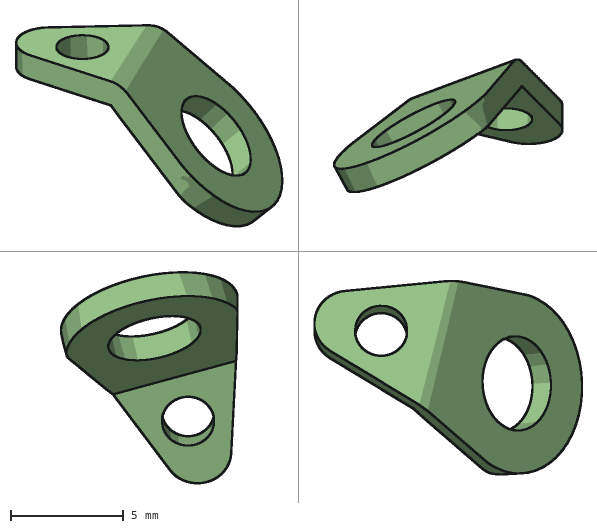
import cadquery as cq
import math

length = 12.02
thickness = 1.2
bend_x = 5.16
bend_angle = 45.0
small_end_radius = 1.5
small_hole_x = 3.0
small_hole_radius = 1.15
large_end_radius = 4.0
large_hole_radius = 2.09
hip_x = 5.65
hip_half_width = 3.02
shoulder_radius = 1.32
shoulder_x = 8.85
shoulder_reach = 0.12

tilt_cos = math.cos(math.radians(bend_angle))
tilt_sin = math.sin(math.radians(bend_angle))

bend_end_x = bend_x + thickness * tilt_sin
bend_end_z = -thickness + thickness * tilt_cos
large_x = length - large_end_radius * tilt_cos
large_z = bend_end_z - (large_x - bend_end_x) * tilt_sin / tilt_cos


def tangent_point(center_x, radius, point_x, point_y, side):
    """Upper contact of a tangent from a point to a circle centred on the X axis."""
    dx = point_x - center_x
    distance = math.hypot(dx, point_y)
    angle = math.atan2(point_y, dx) + side * math.acos(radius / distance)
    return center_x + radius * math.cos(angle), radius * math.sin(angle)


def bent_strip():
    """Wide bent sheet with a sharp inside corner and a round outside corner."""
    end_z = bend_end_z - (length - bend_end_x) * tilt_sin / tilt_cos
    mid_angle = math.radians(bend_angle / 2)
    arc_middle = (
        bend_x + thickness * math.sin(mid_angle),
        -thickness + thickness * math.cos(mid_angle),
    )
    return (
        cq.Workplane("XZ")
        .moveTo(0, -thickness)
        .lineTo(0, 0)
        .lineTo(bend_x, 0)
        .threePointArc(arc_middle, (bend_end_x, bend_end_z))
        .lineTo(length, end_z)
        .lineTo(length - thickness * tilt_sin, end_z - thickness * tilt_cos)
        .lineTo(bend_x, -thickness)
        .close()
        .extrude(large_end_radius, both=True)
    )


def side_wall_prism():
    """Vertical prism with a round small end and walls that flare past the large end."""
    small_x, small_y = tangent_point(
        small_end_radius, small_end_radius, hip_x, hip_half_width, 1
    )
    stretched_x, large_y = tangent_point(
        large_x / tilt_cos, large_end_radius, hip_x / tilt_cos, hip_half_width, -1
    )
    contact_x = stretched_x * tilt_cos
    wall_slope = (large_y - hip_half_width) / (contact_x - hip_x)
    far_half_width = hip_half_width + wall_slope * (length - hip_x)
    return (
        cq.Workplane("XY")
        .workplane(offset=-length)
        .moveTo(small_x, small_y)
        .lineTo(hip_x, hip_half_width)
        .lineTo(length, far_half_width)
        .lineTo(length, -far_half_width)
        .lineTo(hip_x, -hip_half_width)
        .lineTo(small_x, -small_y)
        .threePointArc((0, 0), (small_x, small_y))
        .close()
        .extrude(2 * length)
    )


large_end_plane = cq.Plane(
    origin=(large_x, 0, large_z),
    xDir=(tilt_cos, 0, -tilt_sin),
    normal=(tilt_sin, 0, tilt_cos),
)


def large_end_envelope():
    """Straight-sided slab with a round end, square to the tilted leg, over the whole part."""
    slab = (
        cq.Workplane(large_end_plane)
        .moveTo(0, large_end_radius)
        .threePointArc((large_end_radius, 0), (0, -large_end_radius))
        .lineTo(-2 * length, -large_end_radius)
        .lineTo(-2 * length, large_end_radius)
        .close()
    )
    return slab.extrude(length, both=True)


small_hole = (
    cq.Workplane("XY").center(small_hole_x, 0).circle(small_hole_radius).extrude(-thickness)
)
large_hole = cq.Workplane(large_end_plane).circle(large_hole_radius).extrude(-thickness)

body = bent_strip().intersect(side_wall_prism()).intersect(large_end_envelope())

for side in (-1, 1):
    shoulder_y = side * large_end_radius
    shoulder_edges = cq.selectors.BoxSelector(
        (shoulder_x - shoulder_reach, shoulder_y - shoulder_reach, -length),
        (shoulder_x + shoulder_reach, shoulder_y + shoulder_reach, 0),
    )
    body = body.edges(shoulder_edges).fillet(shoulder_radius)

result = body.cut(large_hole).cut(small_hole)